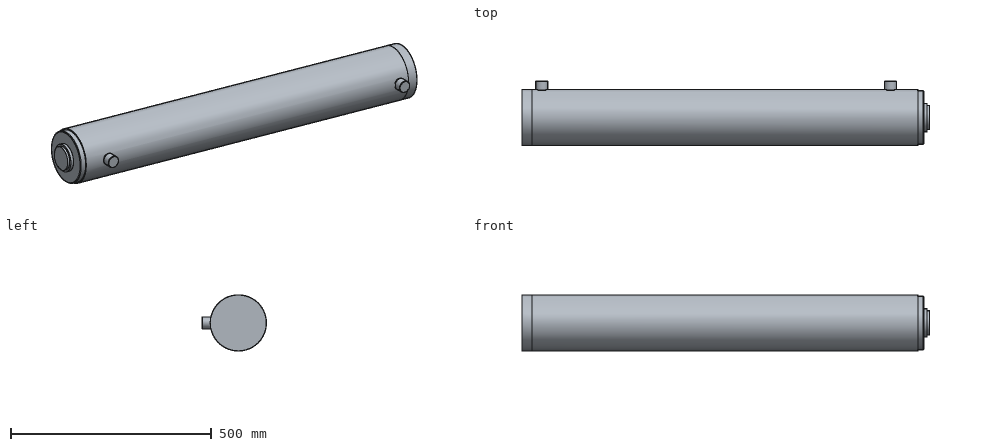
import cadquery as cq

total_length = 1015.0
cap_length = 25.0
barrel_end = 986.0
cover_end = 1001.0
collar_end = 1009.0

barrel_radius = 70.0
cover_radius = 67.0
cover_chamfer = 2.0

collar_radius = 36.0
disc_radius = 30.0

port_radius = 15.0
port_tip_y = 90.0
port_seat_y = 67.0
port_chamfer = 1.0
port_positions = (50.0, 918.0)


def cylinder_along_x(start, end, radius):
    """Solid round bar on the X axis between two stations."""
    return cq.Workplane("YZ", origin=(start, 0, 0)).circle(radius).extrude(end - start)


def cylinder_along_y(x, radius):
    """Round port shape pointing toward +Y from its seat to its tip."""
    height = port_tip_y - port_seat_y
    plane = cq.Plane(origin=(x, port_seat_y, 0), xDir=(1, 0, 0), normal=(0, 1, 0))
    return cq.Workplane(plane).circle(radius).extrude(height)


def make_port(x):
    """Port with a chamfered tip."""
    return cylinder_along_y(x, port_radius).faces(">Y").chamfer(port_chamfer)


def make_barrel():
    """Barrel with a flat-bottomed seat for each port."""
    barrel = cylinder_along_x(cap_length, barrel_end, barrel_radius)
    for x in port_positions:
        barrel = barrel.cut(cylinder_along_y(x, port_radius))
    return barrel


def make_cover():
    """Cover with a chamfered outer rim."""
    cover = cylinder_along_x(barrel_end, cover_end, cover_radius)
    return cover.faces(">X").chamfer(cover_chamfer)


end_cap = cylinder_along_x(0, cap_length, barrel_radius)
barrel = make_barrel()
cover = make_cover()
collar = cylinder_along_x(cover_end, collar_end, collar_radius)
disc = cylinder_along_x(collar_end, total_length, disc_radius)
ports = [make_port(x) for x in port_positions]

result = cq.Compound.makeCompound([
    end_cap.val(),
    barrel.val(),
    cover.val(),
    collar.val(),
    disc.val(),
    *[port.val() for port in ports],
])